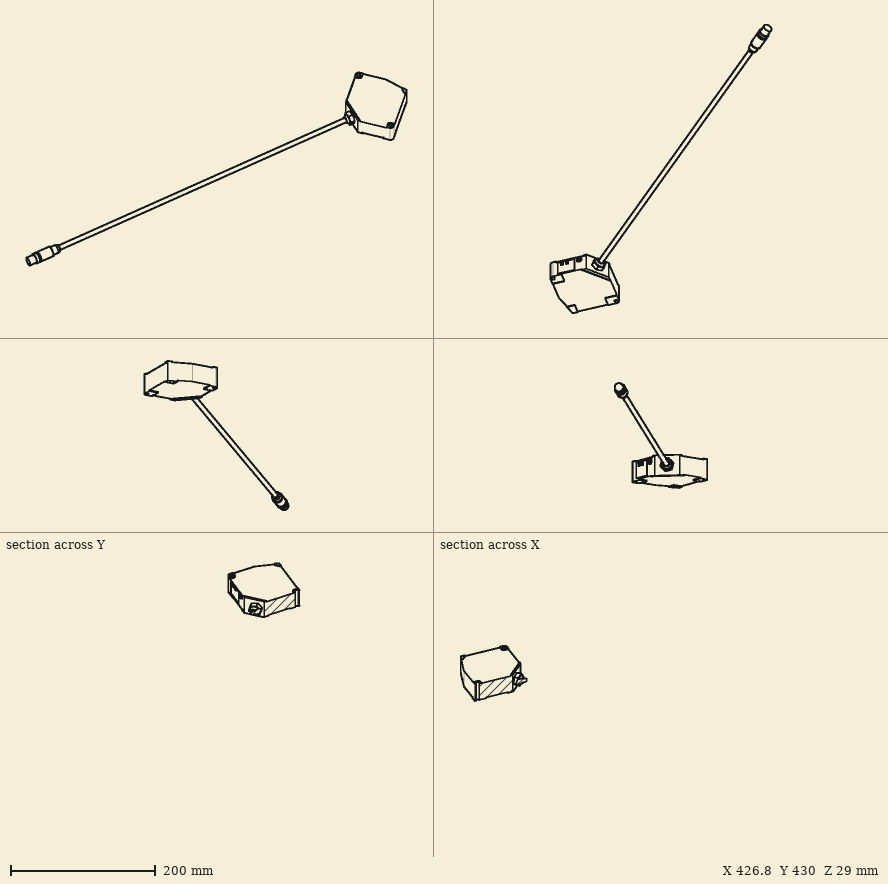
import cadquery as cq
import math


OVERALL_Y = 430.0

WIDTH = 75.3
DEPTH = 78.5
HEIGHT = 29.0
CORNER_CUT = 25.0
SLOPE_START_X = 42.0
SLOPE_DROP = 10.0
CORNER_RADIUS = 4.7

COVER_RECESS = 1.5
TOP_PAD = 9.0
TOP_PAD_RADIUS = 3.0
TOP_STRIP = 2.5
TOP_SLOPE_PAD = 6.5
TOP_SLOPE_PAD_CHAMFER = 5.5
BOTTOM_PAD_X = 13.8
BOTTOM_PAD_Y = 17.0
BOTTOM_STRIP = 5.0
HOLE_DIAMETER = 4.5
HOLE_INSET = 4.5

PANEL_START = 11.5
PANEL_LENGTH = 24.5
PANEL_TOP = 3.5
PANEL_HEIGHT = 22.0
PANEL_DEPTH = 0.5
LAMP_SIZE = 3.5
LAMP_DROP = 7.5
LAMP_DEPTH = 1.0
LAMP_OFFSETS = (17.5, 25.5)
ADJUSTER_WIDTH = 7.0
ADJUSTER_OFFSET = 42.5
ADJUSTER_TOP = 3.5
ADJUSTER_DROP = 7.5
ADJUSTER_DEPTH = 2.0
SCREW_DIAMETER = 4.5
SCREW_HEIGHT = 1.5

NUT_DIAMETER = 18.5
NUT_LENGTH = 6.5
NUT_TURN = -15
GLAND_END_RADIUS = 7.0
GLAND_TIP_RADIUS = 4.7
GLAND_END_LENGTH = 3.5

CABLE_RADIUS = 3.5
TIP_RADIUS = 6.0
TIP_LENGTH = 10.5
SLEEVE_RADIUS = 7.5
SLEEVE_END = 36.0
GROOVE_START = 15.0
GROOVE_END = 17.0
GROOVE_DEPTH = 1.0
NECK_RADIUS = 6.0
NECK_END = 44.5
CONE_END = 48.0
CONE_RADIUS = 4.7

CABLE_EMBED = 2.0


def outline():
    return (
        cq.Workplane("XY")
        .moveTo(CORNER_CUT, 0)
        .lineTo(WIDTH, 0)
        .lineTo(WIDTH, DEPTH - SLOPE_DROP)
        .lineTo(SLOPE_START_X, DEPTH)
        .lineTo(0, DEPTH)
        .lineTo(0, CORNER_CUT)
        .close()
    )


def corner_box(x, y, size_x, size_y):
    """A full-height box centred on a housing corner, reaching size_x and size_y inward."""
    return cq.Workplane("XY").center(x, y).rect(2 * size_x, 2 * size_y).extrude(HEIGHT)


def cut_corner_strip(width):
    """A full-height triangle covering the cut corner and a strip of the given width behind it."""
    reach = CORNER_CUT + width * math.sqrt(2)
    return cq.Workplane("XY").polyline([(0, 0), (reach, 0), (0, reach)]).close().extrude(HEIGHT)


def cover_recess(bottom_z, pads):
    """The layer removed from a cover face, leaving the pads standing."""
    layer = outline().extrude(COVER_RECESS).translate((0, 0, bottom_z))
    for pad in pads:
        layer = layer.cut(pad)
    return layer


def top_recess():
    slope_pad = corner_box(WIDTH, DEPTH - SLOPE_DROP, TOP_SLOPE_PAD, TOP_SLOPE_PAD)
    slope_pad = slope_pad.edges("|Z").chamfer(TOP_SLOPE_PAD_CHAMFER)
    pads = [
        corner_box(0, DEPTH, TOP_PAD, TOP_PAD).edges("|Z").fillet(TOP_PAD_RADIUS),
        corner_box(WIDTH, 0, TOP_PAD, TOP_PAD).edges("|Z").fillet(TOP_PAD_RADIUS),
        slope_pad,
        cut_corner_strip(TOP_STRIP),
    ]
    return cover_recess(HEIGHT - COVER_RECESS, pads)


def bottom_recess():
    pads = [
        corner_box(0, DEPTH, BOTTOM_PAD_X, BOTTOM_PAD_Y),
        corner_box(WIDTH, 0, BOTTOM_PAD_X, BOTTOM_PAD_Y),
        corner_box(WIDTH, DEPTH, BOTTOM_PAD_X, BOTTOM_PAD_Y),
        cut_corner_strip(BOTTOM_STRIP),
    ]
    return cover_recess(0, pads)


def side_block(offset, drop, length, height, depth):
    """A block centred on the -X face, half inside and half outside it."""
    centre = (0, DEPTH - offset, HEIGHT - drop)
    return cq.Workplane("XY").box(2 * depth, length, height).translate(centre)


def housing():
    body = outline().extrude(HEIGHT)
    for x, y in [(0, DEPTH), (WIDTH, 0)]:
        corner_edge = cq.selectors.NearestToPointSelector((x, y, HEIGHT / 2))
        body = body.edges(corner_edge).fillet(CORNER_RADIUS)
    body = body.cut(top_recess()).cut(bottom_recess())
    mounting_points = [(HOLE_INSET, DEPTH - HOLE_INSET), (WIDTH - HOLE_INSET, HOLE_INSET)]
    holes = cq.Workplane("XY").pushPoints(mounting_points).circle(HOLE_DIAMETER / 2).extrude(HEIGHT)
    return body.cut(holes)


def add_side_features(body):
    panel_offset = PANEL_START + PANEL_LENGTH / 2
    panel_drop = PANEL_TOP + PANEL_HEIGHT / 2
    body = body.cut(side_block(panel_offset, panel_drop, PANEL_LENGTH, PANEL_HEIGHT, PANEL_DEPTH))
    for offset in LAMP_OFFSETS:
        body = body.cut(side_block(offset, LAMP_DROP, LAMP_SIZE, LAMP_SIZE, LAMP_DEPTH))

    pocket_height = ADJUSTER_DROP - ADJUSTER_TOP
    pocket_drop = ADJUSTER_TOP + pocket_height / 2
    pocket = side_block(ADJUSTER_OFFSET, pocket_drop, ADJUSTER_WIDTH, pocket_height, ADJUSTER_DEPTH)
    adjuster = cq.Workplane("YZ", origin=(0, DEPTH - ADJUSTER_OFFSET, HEIGHT - ADJUSTER_DROP))
    pocket = pocket.union(adjuster.circle(ADJUSTER_WIDTH / 2).extrude(ADJUSTER_DEPTH))
    pocket_floor = adjuster.workplane(offset=ADJUSTER_DEPTH)
    screw = pocket_floor.circle(SCREW_DIAMETER / 2).extrude(-SCREW_HEIGHT)
    return body.cut(pocket).union(screw)


def diagonal_plane(position):
    """A plane across the cable axis at x = y = position, facing the housing."""
    return cq.Plane(origin=(position, position, HEIGHT / 2), xDir=(1, -1, 0), normal=(1, 1, 0))


def gland():
    plane = diagonal_plane(CORNER_CUT / 2)
    nut = (
        cq.Workplane(plane)
        .transformed(rotate=(0, 0, NUT_TURN))
        .polygon(6, NUT_DIAMETER)
        .extrude(-NUT_LENGTH)
    )
    end = (
        cq.Workplane(plane)
        .workplane(offset=-NUT_LENGTH)
        .circle(GLAND_END_RADIUS)
        .workplane(offset=-GLAND_END_LENGTH)
        .circle(GLAND_TIP_RADIUS)
        .loft()
    )
    return nut.union(end)


def cable_and_plug():
    """Cable and plug in one turned profile: x is the radius, y the distance from the plug tip."""
    tip_position = DEPTH - OVERALL_Y + TIP_RADIUS / math.sqrt(2)
    cable_end = (CORNER_CUT / 2 - tip_position) * math.sqrt(2) + CABLE_EMBED
    groove_radius = SLEEVE_RADIUS - GROOVE_DEPTH
    profile = [
        (0, 0),
        (TIP_RADIUS, 0),
        (TIP_RADIUS, TIP_LENGTH),
        (SLEEVE_RADIUS, TIP_LENGTH),
        (SLEEVE_RADIUS, GROOVE_START),
        (groove_radius, GROOVE_START),
        (groove_radius, GROOVE_END),
        (SLEEVE_RADIUS, GROOVE_END),
        (SLEEVE_RADIUS, SLEEVE_END),
        (NECK_RADIUS, SLEEVE_END),
        (NECK_RADIUS, NECK_END),
        (CONE_RADIUS, CONE_END),
        (CABLE_RADIUS, CONE_END),
        (CABLE_RADIUS, cable_end),
        (0, cable_end),
    ]
    plane = cq.Plane(
        origin=(tip_position, tip_position, HEIGHT / 2), xDir=(1, -1, 0), normal=(0, 0, 1)
    )
    return cq.Workplane(plane).polyline(profile).close().revolve(360, (0, 0, 0), (0, 1, 0))


result = add_side_features(housing()).union(gland()).union(cable_and_plug())